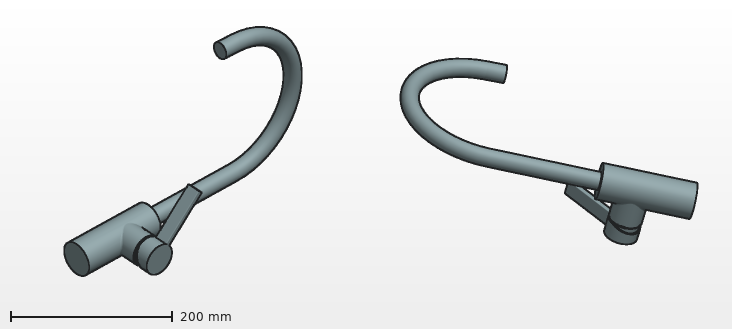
import cadquery as cq
import math

barrel_radius = 23.0
barrel_length = 119.7
hub_y = 75.0
collar_radius = 21.3
collar_end_x = 45.0
collar_fillet = 2.5
rim_radius = 19.5
rim_end_x = 47.7

overall_length = 373
pipe_radius = 11.5
bend_radius = 100.0
tip_tilt = 2
tip_length = 25.0
bend_y = overall_length - bend_radius - pipe_radius

overall_width = 93.0
hub_end_x = overall_width - barrel_radius
relief_center_x = 48.0
relief_rise = 7.0
handle_width = 19.8
handle_thickness = 8.0
handle_reach = 98.0
handle_offset = 0.7
handle_angle = 45
handle_edge_fillet = 1.0


def x_cylinder(radius, start_x, end_x):
    """Cylinder on the lever axis between two X positions."""
    return (
        cq.Workplane("YZ", origin=(start_x, hub_y, 0))
        .circle(radius)
        .extrude(end_x - start_x)
    )


def make_housing():
    barrel = cq.Workplane("XZ").circle(barrel_radius).extrude(-barrel_length)
    body = barrel.union(x_cylinder(collar_radius, 0, collar_end_x))
    seam_box = cq.selectors.BoxSelector(
        (0, hub_y - barrel_radius, -barrel_radius),
        (barrel_radius + collar_fillet, hub_y + barrel_radius, barrel_radius),
    )
    body = body.edges(seam_box).fillet(collar_fillet)
    return body.union(x_cylinder(rim_radius, collar_end_x, rim_end_x))


def make_spout():
    def bend_point(angle):
        """Point (y, z) on the bend after turning through an angle in degrees."""
        turn = math.radians(angle)
        return (
            bend_y + bend_radius * math.sin(turn),
            bend_radius * (1 - math.cos(turn)),
        )

    bend_angle = 180 - tip_tilt
    bend_end_y, bend_end_z = bend_point(bend_angle)
    tilt = math.radians(tip_tilt)
    path = (
        cq.Workplane("YZ")
        .moveTo(barrel_length, 0)
        .lineTo(bend_y, 0)
        .threePointArc(bend_point(bend_angle / 2), (bend_end_y, bend_end_z))
        .lineTo(
            bend_end_y - tip_length * math.cos(tilt),
            bend_end_z + tip_length * math.sin(tilt),
        )
    )
    section = cq.Workplane("XZ", origin=(0, barrel_length, 0)).circle(pipe_radius)
    return section.sweep(path)


def make_relief():
    """Ring around the hub's core, cut off by the oblique plane; deepest opposite the handle."""
    block_half = 2 * collar_radius
    lean = relief_rise * block_half / collar_radius
    wedge = (
        cq.Workplane("XZ", origin=(0, hub_y, 0))
        .moveTo(0, -block_half)
        .lineTo(relief_center_x + lean, -block_half)
        .lineTo(relief_center_x - lean, block_half)
        .lineTo(0, block_half)
        .close()
        .extrude(block_half, both=True)
    )
    return wedge.cut(x_cylinder(rim_radius, 0, hub_end_x))


def make_lever():
    """Lever built with its handle upright, then leaned back about the hub axis."""
    hub = x_cylinder(collar_radius, rim_end_x, hub_end_x).cut(make_relief())
    handle = (
        cq.Workplane("XY", origin=(hub_end_x - handle_width / 2, hub_y - handle_offset, 0))
        .rect(handle_width, handle_thickness)
        .extrude(handle_reach)
        .edges("|Z")
        .fillet(handle_edge_fillet)
    )
    lever = hub.union(handle)
    return lever.rotate((0, hub_y, 0), (1, hub_y, 0), -handle_angle)


housing = make_housing()
spout = make_spout()
lever = make_lever()

result = cq.Compound.makeCompound([housing.val(), spout.val(), lever.val()])